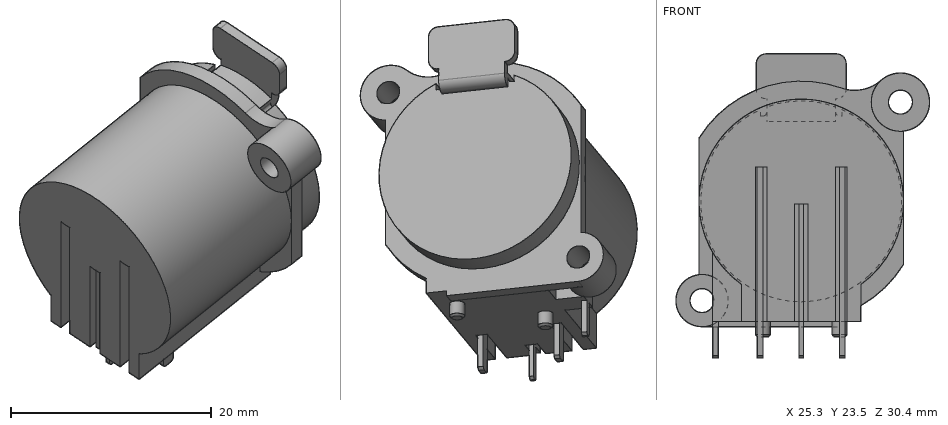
import cadquery as cq
import math


barrel_radius = 10.2
collar_radius = 10.02
collar_rear = 22.28
base_half_width = 5.95
base_bottom = -12.0

flange_front = 17.9
flange_rear = 19.45
flange_radius = 12.0
flange_foot_end = 3.82
ear_offset = 9.9
upper_ear_radius = 2.9
lower_ear_radius = 2.6
ear_front = 14.95
ear_hole_radius = 1.18
ear_blend_radius = 4.0

tab_half_width = 4.5
tab_top = 14.72
tab_wing_bottom = 10.23
tab_rear = 23.5
tab_thickness = 1.05
tab_corner_radius = 1.0
leg_half_width = 3.43
leg_bottom = 7.98
relief_width = 0.65
relief_floor = 8.5
relief_fillet = 0.42

pin_bottom = -15.63
pin_tip_chamfer = 0.27
pin_thickness = 0.58
side_pin_offset = 4.1
side_pin_depth = 1.5
left_pin_front = 6.2
right_pin_front = 5.3
side_slot_inner = 3.4
side_slot_outer = 4.58
side_slot_top = 3.43
middle_pin_thickness = 0.45
middle_pin_front = 1.9
middle_pin_depth = 0.88
middle_blade_front = 0.4
middle_slot_width = 1.3
middle_slot_top = -0.27

block_left = -8.83
block_top = -math.sqrt(barrel_radius**2 - block_left**2)
block_front = 10.93
block_rear = 14.02
ground_pin_front = 12.08
ground_pin_depth = 0.88

peg_radius = 0.75
peg_bottom = -13.5
peg_chamfer = 0.2
peg_offset = 3.82
front_peg_y = 10.62
rear_peg_y = 15.75


def box(x0, x1, y0, y1, z0, z1):
    return cq.Workplane("XY").box(x1 - x0, y1 - y0, z1 - z0, centered=False).translate((x0, y0, z0))


def sketch_at(y_rear):
    """Workplane facing -Y, with X to the right and Z up; extrusions run forward from y_rear."""
    return cq.Workplane("XZ", origin=(0, y_rear, 0))


def disc(x, z, radius, y0, y1):
    return sketch_at(y1).center(x, z).circle(radius).extrude(y1 - y0)


def make_flange():
    """Round plate with flat sides, blended into the upper ear and squared off under the lower ear."""
    side = barrel_radius
    shoulder = math.sqrt(flange_radius**2 - side**2)
    foot_bottom = -ear_offset - lower_ear_radius
    foot_top = -math.sqrt(flange_radius**2 - flange_foot_end**2)

    ear_distance = math.hypot(ear_offset, ear_offset)
    to_flange = flange_radius + ear_blend_radius
    to_ear = upper_ear_radius + ear_blend_radius
    turn = math.acos((ear_distance**2 + to_flange**2 - to_ear**2) / (2 * ear_distance * to_flange))
    ear_direction = math.radians(45)
    direction = ear_direction + turn
    blend_x = to_flange * math.cos(direction)
    blend_z = to_flange * math.sin(direction)
    blend_start = (flange_radius * math.cos(direction), flange_radius * math.sin(direction))
    ear_share = upper_ear_radius / to_ear
    blend_end = (
        ear_offset + (blend_x - ear_offset) * ear_share,
        ear_offset + (blend_z - ear_offset) * ear_share,
    )
    lower_mid_x = (side + flange_foot_end) / 2
    lower_mid = (lower_mid_x, -math.sqrt(flange_radius**2 - lower_mid_x**2))

    return (
        sketch_at(flange_rear)
        .moveTo(-side, shoulder)
        .threePointArc((0, flange_radius), blend_start)
        .threePointArc((blend_x, blend_z - ear_blend_radius), blend_end)
        .lineTo(ear_offset, ear_offset)
        .lineTo(side, ear_offset)
        .lineTo(side, -shoulder)
        .threePointArc(lower_mid, (flange_foot_end, foot_top))
        .lineTo(flange_foot_end, foot_bottom)
        .lineTo(-ear_offset, foot_bottom)
        .lineTo(-ear_offset, -ear_offset)
        .lineTo(-side, -ear_offset)
        .close()
        .extrude(flange_rear - flange_front)
    )


def make_tab():
    """Plate with rounded corners and its leg, whose top follows the collar."""
    plate_front = tab_rear - tab_thickness
    plate = box(-tab_half_width, tab_half_width, plate_front, tab_rear, tab_wing_bottom, tab_top)
    plate = plate.edges("|Y").fillet(tab_corner_radius)
    neck_top = tab_top - tab_corner_radius
    neck = box(-leg_half_width, leg_half_width, plate_front, tab_rear, leg_bottom, neck_top)
    neck = neck.edges("|X and >Y and <Z").fillet(tab_corner_radius)
    leg = box(-leg_half_width, leg_half_width, flange_rear, plate_front, leg_bottom, tab_top)
    leg = leg.intersect(disc(0, 0, collar_radius, flange_rear, plate_front))
    return plate.union(neck).union(leg)


def relief_slot(side):
    """Groove in the collar beside the tab leg, rounded where its floor meets the leg."""
    outer_wall = leg_half_width + relief_width
    groove = box(leg_half_width, outer_wall, flange_rear, collar_rear, relief_floor, collar_radius)
    groove = groove.edges("|Y and <X and <Z").fillet(relief_fillet)
    return groove if side > 0 else groove.mirror("YZ")


def pin(x, thickness, y_front, depth, top):
    """Flat terminal with two chamfered tip corners."""
    blade = box(x - thickness / 2, x + thickness / 2, y_front, y_front + depth, pin_bottom, top)
    return blade.edges("|X and <Z").chamfer(pin_tip_chamfer)


def peg(x, y):
    height = base_bottom - peg_bottom
    shaft = cq.Workplane("XY", origin=(x, y, peg_bottom)).circle(peg_radius).extrude(height)
    return shaft.faces("<Z").chamfer(peg_chamfer)


body = disc(0, 0, barrel_radius, 0, flange_rear)
body = body.union(disc(0, 0, collar_radius, flange_front, collar_rear))
body = body.union(box(-base_half_width, base_half_width, 0, flange_rear, base_bottom, 0))
body = body.union(box(block_left, -base_half_width, block_front, block_rear, base_bottom, block_top))
body = body.union(make_flange())

for offset, radius in ((ear_offset, upper_ear_radius), (-ear_offset, lower_ear_radius)):
    body = body.union(disc(offset, offset, radius, ear_front, flange_rear))
    body = body.cut(disc(offset, offset, ear_hole_radius, ear_front, flange_rear))

for side in (-1, 1):
    body = body.cut(relief_slot(side))
body = body.union(make_tab())

for side, pin_front in ((-1, left_pin_front), (1, right_pin_front)):
    pin_rear = pin_front + side_pin_depth
    slot_edges = sorted((side * side_slot_inner, side * side_slot_outer))
    body = body.cut(box(*slot_edges, 0, pin_rear, base_bottom, side_slot_top))
    body = body.union(pin(side * side_pin_offset, pin_thickness, pin_front, side_pin_depth, side_slot_top))

middle_pin_rear = middle_pin_front + middle_pin_depth
body = body.cut(
    box(-middle_slot_width / 2, middle_slot_width / 2, 0, middle_pin_rear, base_bottom, middle_slot_top)
)
body = body.union(pin(0, middle_pin_thickness, middle_pin_front, middle_pin_depth, middle_slot_top))
body = body.union(
    box(
        -middle_pin_thickness / 2, middle_pin_thickness / 2,
        middle_blade_front, middle_pin_rear,
        base_bottom, middle_slot_top,
    )
)

body = body.union(
    pin(block_left + pin_thickness / 2, pin_thickness, ground_pin_front, ground_pin_depth, base_bottom)
)

body = body.union(peg(-peg_offset, front_peg_y))
body = body.union(peg(peg_offset, rear_peg_y))

result = body